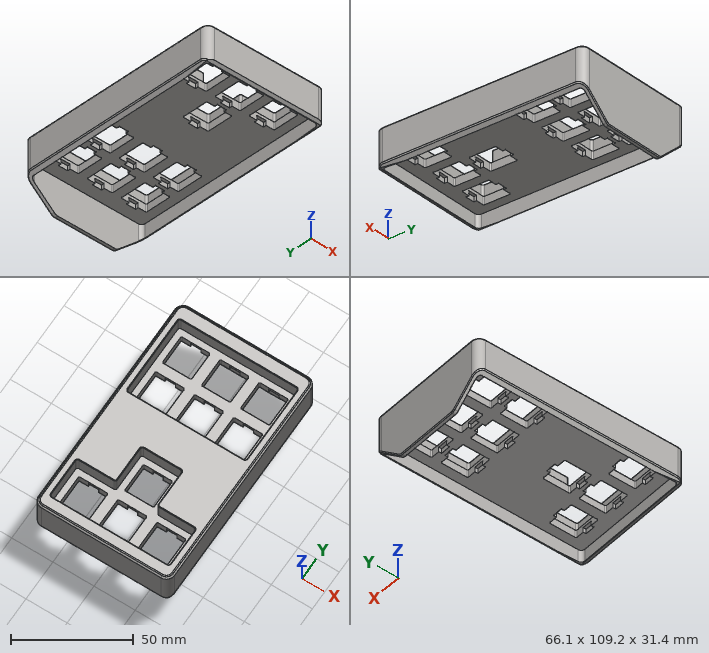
import cadquery as cq

WIDTH = 66.1
LENGTH = 109.2
TOTAL_HEIGHT = 31.4
CORNER_RADIUS = 4.0
TOP_CHAMFER = 1.0
BOTTOM_CHAMFER = 0.4

SIDE_WALL_HEIGHT = 17.5
APRON_TIP_HALF_WIDTH = 17.0
APRON_TIP_RADIUS = 3.0
APRON_ROOT_RADIUS = 1.5

WALL = 2.1
CAVITY_CORNER_RADIUS = 2.0

RAMP_START_Y = -39.3
LIP_START_Y = -52.9
LIP_START_HEIGHT = 18.5
FRONT_WALL_HEIGHT = 17.7

KEY_PITCH = 19.0
KEY_FIELD_CENTER_Y = -0.4
KEY_CELL = 20.0
POCKET_DEPTH = 8.0
POCKET_CORNER_RADIUS = 1.0
POCKET_EDGE_CHAMFER = 0.3
PLATE_THICKNESS = 4.0
HOLE_SIZE = 14.1
HOLE_CORNER_RADIUS = 0.5
CLIP_WIDTH = 5.0
CLIP_DEPTH = 1.5
CLIP_LEDGE = 1.5

half_width = WIDTH / 2
half_length = LENGTH / 2
plate_bottom = -POCKET_DEPTH - PLATE_THICKNESS
slant = (TOTAL_HEIGHT - SIDE_WALL_HEIGHT) / (half_width - APRON_TIP_HALF_WIDTH)
rim_bottom = -SIDE_WALL_HEIGHT - WALL * slant

UPPER_KEYS = [(column, row) for row in (2, 1) for column in (-1, 0, 1)]
ARROW_KEYS = [(0, -1), (-1, -2), (0, -2), (1, -2)]


def key_center(column, row):
    return column * KEY_PITCH, KEY_FIELD_CENTER_Y + row * KEY_PITCH


def box(size_x, size_y, center, z_bottom, z_top):
    """Upright box centred on an XY point."""
    return (
        cq.Workplane("XY", origin=(center[0], center[1], z_bottom))
        .rect(size_x, size_y)
        .extrude(z_top - z_bottom)
    )


def make_outer_body():
    """Rounded block trimmed by the slanted section, with its outer edges chamfered."""
    body = box(WIDTH, LENGTH, (0, 0), -TOTAL_HEIGHT, 0).edges("|Z").fillet(CORNER_RADIUS)
    section = (
        cq.Workplane("XZ", origin=(0, half_length, 0))
        .polyline([
            (-half_width, 0),
            (half_width, 0),
            (half_width, -SIDE_WALL_HEIGHT),
            (APRON_TIP_HALF_WIDTH, -TOTAL_HEIGHT),
            (-APRON_TIP_HALF_WIDTH, -TOTAL_HEIGHT),
            (-half_width, -SIDE_WALL_HEIGHT),
        ])
        .close()
        .extrude(LENGTH)
        .edges("|Y and <Z")
        .fillet(APRON_TIP_RADIUS)
    )
    body = body.intersect(section)
    body = body.faces("<Z").edges(">Y").chamfer(BOTTOM_CHAMFER)
    return body.faces(">Z").edges().chamfer(TOP_CHAMFER)


def make_underside_cut():
    """Everything ahead of the apron below the rim, with the ramp at the front."""
    apron_face = half_length - WALL
    return (
        cq.Workplane("YZ", origin=(-half_width, 0, 0))
        .polyline([
            (apron_face, -TOTAL_HEIGHT),
            (apron_face, rim_bottom),
            (RAMP_START_Y, rim_bottom),
            (LIP_START_Y, -LIP_START_HEIGHT),
            (-half_length, -FRONT_WALL_HEIGHT),
            (-half_length, -TOTAL_HEIGHT),
        ])
        .close()
        .extrude(WIDTH)
        .edges(cq.selectors.NearestToPointSelector((0, apron_face, rim_bottom)))
        .fillet(APRON_ROOT_RADIUS)
    )


def make_cavity():
    return (
        box(WIDTH - 2 * WALL, LENGTH - 2 * WALL, (0, 0), -TOTAL_HEIGHT, plate_bottom)
        .edges("|Z")
        .fillet(CAVITY_CORNER_RADIUS)
    )


def make_pocket(keys):
    """Recess made of one square cell per key, merged and rounded."""
    pocket = None
    for column, row in keys:
        cell = box(KEY_CELL, KEY_CELL, key_center(column, row), -POCKET_DEPTH, 0)
        pocket = cell if pocket is None else pocket.union(cell)
    return pocket.clean().edges("|Z").fillet(POCKET_CORNER_RADIUS)


def make_switch_hole(column, row):
    """Square hole through the plate with clip notches under a ledge on both Y walls."""
    center = key_center(column, row)
    hole = (
        box(HOLE_SIZE, HOLE_SIZE, center, plate_bottom, -POCKET_DEPTH)
        .edges("|Z")
        .fillet(HOLE_CORNER_RADIUS)
    )
    notches = box(
        CLIP_WIDTH, HOLE_SIZE + 2 * CLIP_DEPTH, center, plate_bottom, -POCKET_DEPTH - CLIP_LEDGE
    )
    return hole.union(notches)


def chamfer_pocket_rims(solid):
    """Break the top edges of the pockets, leaving the outer top edges alone."""
    reach_x = half_width - 2 * TOP_CHAMFER
    reach_y = half_length - 2 * TOP_CHAMFER
    inside_rim = cq.selectors.BoxSelector(
        (-reach_x, -reach_y, -POCKET_DEPTH), (reach_x, reach_y, POCKET_DEPTH)
    )
    return solid.faces(">Z").edges(inside_rim).chamfer(POCKET_EDGE_CHAMFER)


body = make_outer_body()
body = body.cut(make_underside_cut())
body = body.cut(make_cavity())
for keys in (UPPER_KEYS, ARROW_KEYS):
    body = body.cut(make_pocket(keys))
    for column, row in keys:
        body = body.cut(make_switch_hole(column, row))
result = chamfer_pocket_rims(body)